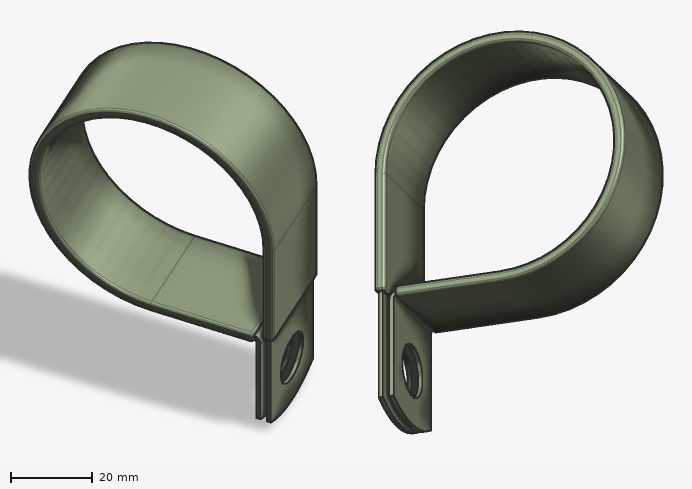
import cadquery as cq
import math

loop_radius = 32.97
total_height = 94.9
cushion_width = 26.9
cover = 0.9
strap_thickness = 1.1
edge_round = 0.81
side_leg_end = 30.8
bottom_leg_end = 27.6
tab_gap = 1.7
bend_inner_radius = 1.1
tab_end_rise = 3.1
hole_diameter = 13.5
hole_to_tab_end = 14.2

cushion_thickness = strap_thickness + 2 * cover
strap_width = cushion_width - 2 * cover
strap_outer = loop_radius - cover
strap_inner = strap_outer - strap_thickness
tab_bottom = loop_radius - total_height
bent_tab_outer = strap_inner - tab_gap
bent_tab_inner = bent_tab_outer - strap_thickness
bend_outer_radius = bend_inner_radius + strap_thickness
DIAGONAL = math.sqrt(0.5)


def extrude_across(profile, width):
    """Extrude an XZ profile symmetrically about Y = 0."""
    return profile.close().extrude(width / 2, both=True)


def loop_start(outer, inner, side_end):
    """Profile of the +X leg and three-quarter loop, ending at the inside bottom of the loop."""
    return (
        cq.Workplane("XZ")
        .moveTo(0, -inner)
        .threePointArc((-inner * DIAGONAL, inner * DIAGONAL), (inner, 0))
        .lineTo(inner, side_end)
        .lineTo(outer, side_end)
        .lineTo(outer, 0)
        .threePointArc((-outer * DIAGONAL, outer * DIAGONAL), (0, -outer))
    )


def make_cushion():
    inner = loop_radius - cushion_thickness
    profile = (
        loop_start(loop_radius, inner, -side_leg_end)
        .lineTo(bottom_leg_end, -loop_radius)
        .lineTo(bottom_leg_end, -inner)
    )
    cushion = extrude_across(profile, cushion_width)
    leg_ends = cq.selectors.BoxSelector(
        (bottom_leg_end / 2, -cushion_width, -2 * loop_radius),
        (2 * loop_radius, cushion_width, -side_leg_end / 2),
    )
    cushion = cushion.edges("|Y").edges(leg_ends).fillet(edge_round)
    return cushion.faces("<Y or >Y").edges().fillet(edge_round)


def make_strap():
    bend_x = bent_tab_inner - bend_inner_radius
    bend_z = -strap_outer - bend_inner_radius
    inner_mid = bend_inner_radius * DIAGONAL
    outer_mid = bend_outer_radius * DIAGONAL
    profile = (
        loop_start(strap_outer, strap_inner, tab_bottom)
        .lineTo(bend_x, -strap_outer)
        .threePointArc((bend_x + inner_mid, bend_z + inner_mid), (bent_tab_inner, bend_z))
        .lineTo(bent_tab_inner, tab_bottom)
        .lineTo(bent_tab_outer, tab_bottom)
        .lineTo(bent_tab_outer, bend_z)
        .threePointArc((bend_x + outer_mid, bend_z + outer_mid), (bend_x, -strap_inner))
    )
    return extrude_across(profile, strap_width)


def make_side_outline():
    """Block spanning the clamp in X whose lower end has the rounded shape of the tabs."""
    half_width = strap_width / 2
    corner_z = tab_bottom + tab_end_rise
    return (
        cq.Workplane("YZ")
        .moveTo(-half_width, loop_radius)
        .lineTo(-half_width, corner_z)
        .threePointArc((0, tab_bottom), (half_width, corner_z))
        .lineTo(half_width, loop_radius)
        .close()
        .extrude(loop_radius, both=True)
    )


def make_tab_hole():
    """Bolt hole through both tabs."""
    return (
        cq.Workplane("YZ")
        .center(0, tab_bottom + hole_to_tab_end)
        .circle(hole_diameter / 2)
        .extrude(loop_radius)
    )


strap = make_strap().intersect(make_side_outline()).cut(make_tab_hole())
result = make_cushion().union(strap)